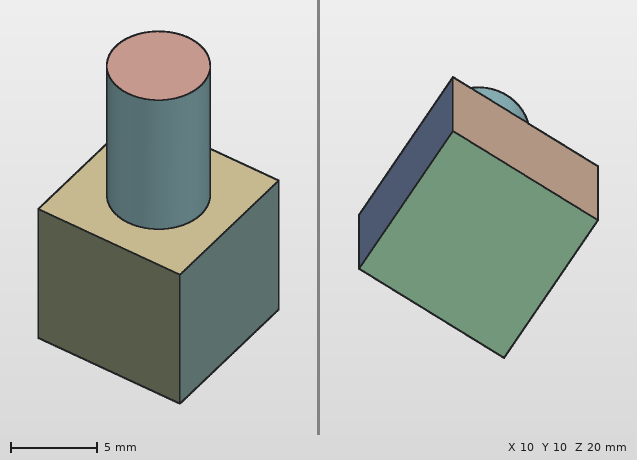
import cadquery as cq

block_side = 10.0
pin_diameter = 6.0
pin_height = 10.0


def make_block():
    """Cube resting on the XY plane, centred on the Z axis."""
    return cq.Workplane("XY").box(block_side, block_side, block_side, centered=(True, True, False))


def make_pin():
    """Round pin standing on the centre of the block's top face."""
    return cq.Workplane("XY").workplane(offset=block_side).circle(pin_diameter / 2).extrude(pin_height)


block = make_block()
pin = make_pin()

result = cq.Compound.makeCompound([block.val(), pin.val()])